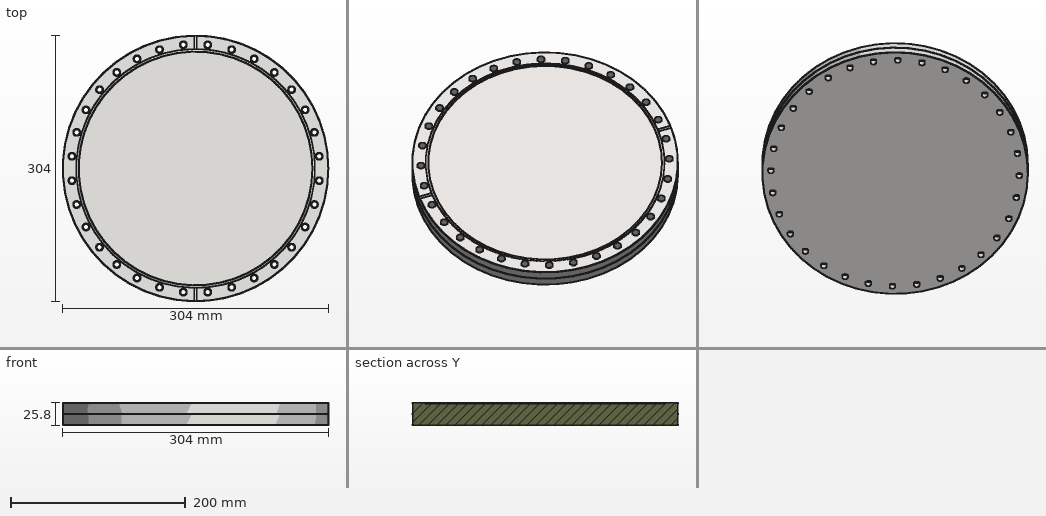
import cadquery as cq

flange_diameter = 304.0
flange_thickness = 25.8
edge_chamfer = 0.55
flange_radius = flange_diameter / 2

rim_groove_width = 1.0
rim_groove_depth = 0.45

recess_diameter = 273.0
knife_diameter = 267.5
recess_depth = 1.5
knife_rise = 1.0
plateau_diameter = 266.5
plateau_rise = 0.45

bolt_count = 32
bolt_hole_diameter = 6.7
counterbore_diameter = 8.2
counterbore_depth = flange_thickness / 2
bolt_circle_diameter = 284.0

leak_groove_width = 3.0
leak_groove_depth = 0.3


def make_disc():
    """Turn the chamfered disc with the knife edge and the rim groove in one profile."""
    middle = flange_thickness / 2
    floor = flange_thickness - recess_depth
    profile = (
        cq.Workplane("XZ")
        .moveTo(0, 0)
        .lineTo(flange_radius - edge_chamfer, 0)
        .lineTo(flange_radius, edge_chamfer)
        .lineTo(flange_radius, middle - rim_groove_width / 2)
        .lineTo(flange_radius - rim_groove_depth, middle)
        .lineTo(flange_radius, middle + rim_groove_width / 2)
        .lineTo(flange_radius, flange_thickness - edge_chamfer)
        .lineTo(flange_radius - edge_chamfer, flange_thickness)
        .lineTo(recess_diameter / 2, flange_thickness)
        .lineTo(recess_diameter / 2, floor)
        .lineTo(knife_diameter / 2, floor + knife_rise)
        .lineTo(plateau_diameter / 2, floor + plateau_rise)
        .lineTo(0, floor + plateau_rise)
        .close()
    )
    return profile.revolve(360, (0, 0, 0), (0, 1, 0))


def make_bolt_holes():
    """Counterbored through holes, straddling the X and Y axes by half a pitch."""
    pitch = 360 / bolt_count

    def cylinders(diameter, depth):
        return (
            cq.Workplane("XY", origin=(0, 0, flange_thickness - depth))
            .polarArray(bolt_circle_diameter / 2, pitch / 2, 360, bolt_count)
            .circle(diameter / 2)
            .extrude(depth)
        )

    holes = cylinders(bolt_hole_diameter, flange_thickness)
    return holes.union(cylinders(counterbore_diameter, counterbore_depth))


def make_leak_groove(side):
    """Shallow radial slot, cut from inside the recess wall out to the rim; side is +1 or -1 along Y."""
    inner_end = knife_diameter / 2
    length = flange_radius - inner_end
    return (
        cq.Workplane("XY", origin=(0, 0, flange_thickness - leak_groove_depth))
        .center(0, side * (inner_end + length / 2))
        .rect(leak_groove_width, length)
        .extrude(leak_groove_depth)
    )


result = make_disc().cut(make_bolt_holes())
for side in (1, -1):
    result = result.cut(make_leak_groove(side))